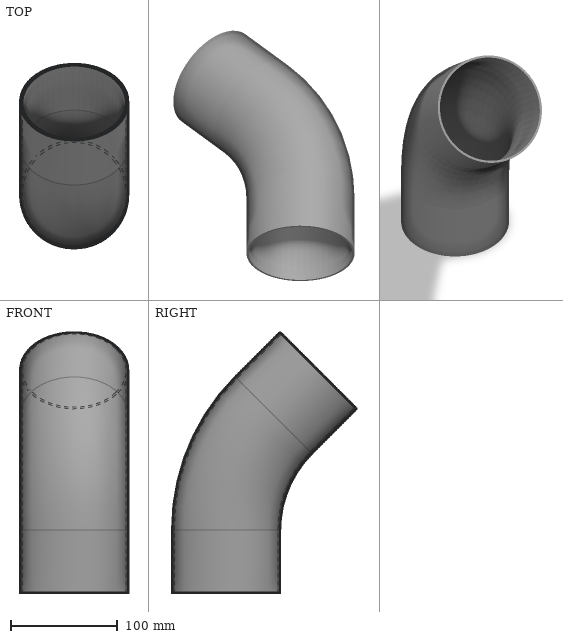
import cadquery as cq
import math

outer_diameter = 101.5
inner_diameter = 97.3
straight_length = 59.2
bend_angle = 45
bend_radius = 1.5 * outer_diameter


def bend_point(angle_degrees):
    """Centreline point (Y, Z) after turning from vertical towards +Y."""
    angle = math.radians(angle_degrees)
    y = bend_radius * (1 - math.cos(angle))
    z = straight_length + bend_radius * math.sin(angle)
    return y, z


bend_start = bend_point(0)
bend_middle = bend_point(bend_angle / 2)
bend_end = bend_point(bend_angle)
upper_end = (
    bend_end[0] + straight_length * math.sin(math.radians(bend_angle)),
    bend_end[1] + straight_length * math.cos(math.radians(bend_angle)),
)
centreline = (
    cq.Workplane("YZ")
    .moveTo(0, 0)
    .lineTo(*bend_start)
    .threePointArc(bend_middle, bend_end)
    .lineTo(*upper_end)
)

result = (
    cq.Workplane("XY")
    .circle(outer_diameter / 2)
    .circle(inner_diameter / 2)
    .sweep(centreline)
)